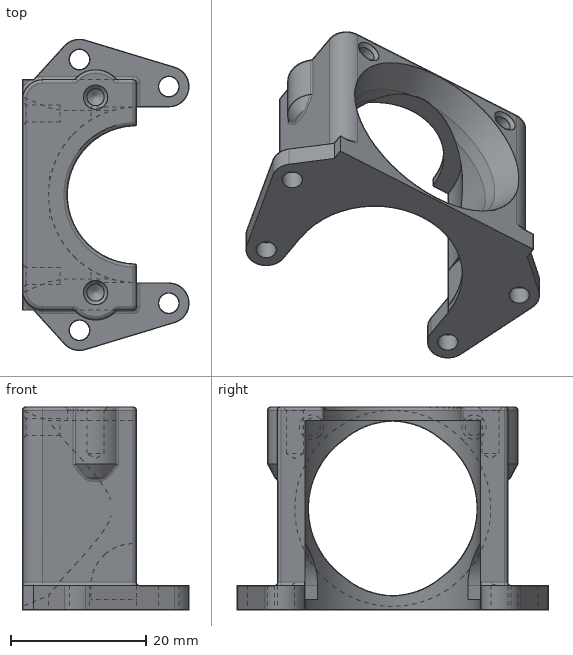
import cadquery as cq
import math

BODY_LENGTH = 16.85
BODY_HALF_WIDTH = 17.0
TOTAL_HEIGHT = 30.0
TOTAL_HALF_WIDTH = 23.0
BASE_THICKNESS = 3.6
EDGE_FILLET = 0.5
FRONT_CORNER_RADIUS = 3.0
SELECT_MARGIN = 0.05

EAR_RADIUS = 3.0
EAR_HOLE_DIAMETER = 3.0
REAR_HOLE = (21.6, 16.0)
SIDE_HOLE = (8.4, TOTAL_HALF_WIDTH - EAR_RADIUS)
EAR_START_X = 1.65

DUCT_AXIS_Z = TOTAL_HEIGHT / 2
DUCT_MOUTH_RADIUS = 14.5
DUCT_STEP = (4.0, 12.85)
DUCT_THROAT = (6.0, 12.45)

CAVITY_RADIUS = 12.95
ROOF_THICKNESS = 2.0
ROOF_CUTOUT_RADIUS = 10.2
CUTOUT_CORNER_FILLET = EDGE_FILLET / 2

RELIEF_FLOOR_Z = 1.5
RELIEF_CENTER_Z = 3.6
RELIEF_RADIUS = 6.2
RELIEF_CENTER_X = 16.35

BOSS_CENTER = (10.8, 14.45)
BOSS_RADIUS = 4.05
BOSS_BOTTOM_Z = 19.3
BOSS_TAPER_HEIGHT = 2.2
BOSS_TAPER_INSET = 1.2
BOSS_TIP_FILLET = 0.45
SCREW_DIAMETER = 2.55
SCREW_MOUTH_DIAMETER = 3.6
ROOF_SCREW_DEPTH = 6.9
DRILL_POINT_HEIGHT = 0.75
FACE_SCREW_Y = 12.0
FACE_SCREW_Z = DUCT_AXIS_Z + FACE_SCREW_Y
FACE_SCREW_DEPTH = 5.5


def box(x_range, y_range, z_range):
    sizes = [high - low for low, high in (x_range, y_range, z_range)]
    corner = (x_range[0], y_range[0], z_range[0])
    return cq.Workplane("XY").box(*sizes, centered=False).translate(corner)


def with_mirror(shape):
    """Join a feature with its copy on the other side of the XZ plane."""
    return shape.union(shape.mirror("XZ"))


def on_circle(center, radius, angle):
    return (center[0] + radius * math.cos(angle), center[1] + radius * math.sin(angle))


def base_plate():
    """Flat base with one rounded, two-hole ear on each side."""
    to_start = (EAR_START_X - SIDE_HOLE[0], BODY_HALF_WIDTH - SIDE_HOLE[1])
    start_angle = math.atan2(to_start[1], to_start[0])
    tangent_angle = start_angle - math.acos(EAR_RADIUS / math.hypot(*to_start))
    to_rear = (REAR_HOLE[0] - SIDE_HOLE[0], REAR_HOLE[1] - SIDE_HOLE[1])
    edge_normal = math.atan2(to_rear[1], to_rear[0]) + math.pi / 2
    ear = (
        cq.Workplane("XY")
        .moveTo(0, 0)
        .lineTo(0, BODY_HALF_WIDTH)
        .lineTo(EAR_START_X, BODY_HALF_WIDTH)
        .lineTo(*on_circle(SIDE_HOLE, EAR_RADIUS, tangent_angle))
        .threePointArc(
            on_circle(SIDE_HOLE, EAR_RADIUS, math.pi / 2),
            on_circle(SIDE_HOLE, EAR_RADIUS, edge_normal),
        )
        .lineTo(*on_circle(REAR_HOLE, EAR_RADIUS, edge_normal))
        .threePointArc(
            on_circle(REAR_HOLE, EAR_RADIUS, 0),
            on_circle(REAR_HOLE, EAR_RADIUS, -math.pi / 2),
        )
        .lineTo(BODY_LENGTH, REAR_HOLE[1] - EAR_RADIUS)
        .lineTo(BODY_LENGTH, 0)
        .close()
        .extrude(BASE_THICKNESS)
    )
    holes = (
        cq.Workplane("XY")
        .pushPoints([REAR_HOLE, SIDE_HOLE])
        .circle(EAR_HOLE_DIAMETER / 2)
        .extrude(BASE_THICKNESS)
    )
    return with_mirror(ear.cut(holes))


def plain_block():
    block = box((0, BODY_LENGTH), (-BODY_HALF_WIDTH, BODY_HALF_WIDTH), (0, TOTAL_HEIGHT))
    block = block.edges("|Z and <X").fillet(FRONT_CORNER_RADIUS)
    return block.edges("|Z and >X").fillet(EDGE_FILLET)


def foot_fillet(base):
    """Concave fillet where the block meets the base, kept within the base outline."""
    reach = 2 * BODY_HALF_WIDTH
    slab = box((-reach, reach), (-reach, reach), (0, BASE_THICKNESS))
    foot = slab.union(plain_block())
    block_edges = cq.selectors.BoxSelector(
        (-EDGE_FILLET, -TOTAL_HALF_WIDTH, BASE_THICKNESS - SELECT_MARGIN),
        (BODY_LENGTH + EDGE_FILLET, TOTAL_HALF_WIDTH, BASE_THICKNESS + SELECT_MARGIN),
    )
    foot = foot.edges(block_edges).fillet(EDGE_FILLET)
    limits = base.translate((0, 0, BASE_THICKNESS))
    return foot.intersect(limits)


def boss():
    """Vertical screw boss, half buried in the block, with a tapered lower end."""
    return (
        cq.Workplane("XY")
        .circle(BOSS_RADIUS)
        .extrude(TOTAL_HEIGHT - BOSS_BOTTOM_Z)
        .faces("<Z")
        .edges()
        .chamfer(BOSS_TAPER_HEIGHT, BOSS_TAPER_INSET)
        .edges("<Z")
        .fillet(BOSS_TIP_FILLET)
        .translate((*BOSS_CENTER, BOSS_BOTTOM_Z))
    )


def upper_block():
    """Block with blended bosses, roof cut-out and rounded top edges."""
    block = plain_block().union(with_mirror(boss()))
    near_left = BOSS_CENTER[0] - BOSS_RADIUS
    near_right = BOSS_CENTER[0] + BOSS_RADIUS
    for wall_y in (-BODY_HALF_WIDTH, BODY_HALF_WIDTH):
        boss_outline = cq.selectors.BoxSelector(
            (near_left, wall_y - SELECT_MARGIN, BOSS_BOTTOM_Z - SELECT_MARGIN),
            (near_right, wall_y + SELECT_MARGIN, TOTAL_HEIGHT - SELECT_MARGIN),
        )
        block = block.edges(boss_outline).fillet(EDGE_FILLET)
    cutout = cq.Workplane("XY").center(BODY_LENGTH, 0).circle(ROOF_CUTOUT_RADIUS).extrude(TOTAL_HEIGHT)
    block = block.cut(cutout)
    cutout_corners = cq.selectors.BoxSelector(
        (BODY_LENGTH - SELECT_MARGIN, -ROOF_CUTOUT_RADIUS - SELECT_MARGIN, 0),
        (BODY_LENGTH + SELECT_MARGIN, ROOF_CUTOUT_RADIUS + SELECT_MARGIN, TOTAL_HEIGHT),
    )
    block = block.edges("|Z").edges(cutout_corners).fillet(CUTOUT_CORNER_FILLET)
    return block.faces(">Z").edges().fillet(EDGE_FILLET)


def duct():
    throat_x, throat_radius = DUCT_THROAT
    return (
        cq.Workplane("XY")
        .moveTo(0, 0)
        .lineTo(0, DUCT_MOUTH_RADIUS)
        .lineTo(*DUCT_STEP)
        .lineTo(throat_x, throat_radius)
        .lineTo(BODY_LENGTH, throat_radius)
        .lineTo(BODY_LENGTH, 0)
        .close()
        .revolve(360, (0, 0, 0), (1, 0, 0))
        .translate((0, 0, DUCT_AXIS_Z))
    )


def cavity():
    return (
        cq.Workplane("XY")
        .center(BODY_LENGTH, 0)
        .circle(CAVITY_RADIUS)
        .extrude(TOTAL_HEIGHT - ROOF_THICKNESS)
    )


def relief():
    """Flat-sided widening of the cavity with an arched top and a flat floor."""
    arch = (
        cq.Workplane("XZ")
        .center(RELIEF_CENTER_X, RELIEF_CENTER_Z)
        .circle(RELIEF_RADIUS)
        .extrude(CAVITY_RADIUS, both=True)
    )
    left = RELIEF_CENTER_X - RELIEF_RADIUS
    span = (-CAVITY_RADIUS, CAVITY_RADIUS)
    above_floor = box((left, BODY_LENGTH), span, (RELIEF_FLOOR_Z, TOTAL_HEIGHT))
    foot = box((left, BODY_LENGTH), span, (RELIEF_FLOOR_Z, RELIEF_CENTER_Z))
    return arch.intersect(above_floor).union(foot)


def screw_hole(depth, point_height):
    """Countersunk blind hole going down from the origin, with a conical end if point_height > 0."""
    radius = SCREW_DIAMETER / 2
    mouth_radius = SCREW_MOUTH_DIAMETER / 2
    return (
        cq.Workplane("XZ")
        .moveTo(0, 0)
        .lineTo(mouth_radius, 0)
        .lineTo(radius, radius - mouth_radius)
        .lineTo(radius, -depth)
        .lineTo(0, -depth - point_height)
        .close()
        .revolve(360, (0, 0, 0), (0, 1, 0))
    )


base = base_plate()
roof_screw = screw_hole(ROOF_SCREW_DEPTH, DRILL_POINT_HEIGHT).translate((*BOSS_CENTER, TOTAL_HEIGHT))
face_screw = (
    screw_hole(FACE_SCREW_DEPTH, 0)
    .rotate((0, 0, 0), (0, 1, 0), -90)
    .translate((0, FACE_SCREW_Y, FACE_SCREW_Z))
)

body = upper_block()
result = (
    base.union(body)
    .union(foot_fillet(base))
    .cut(duct())
    .cut(cavity())
    .cut(relief())
    .cut(with_mirror(roof_screw))
    .cut(with_mirror(face_screw))
)